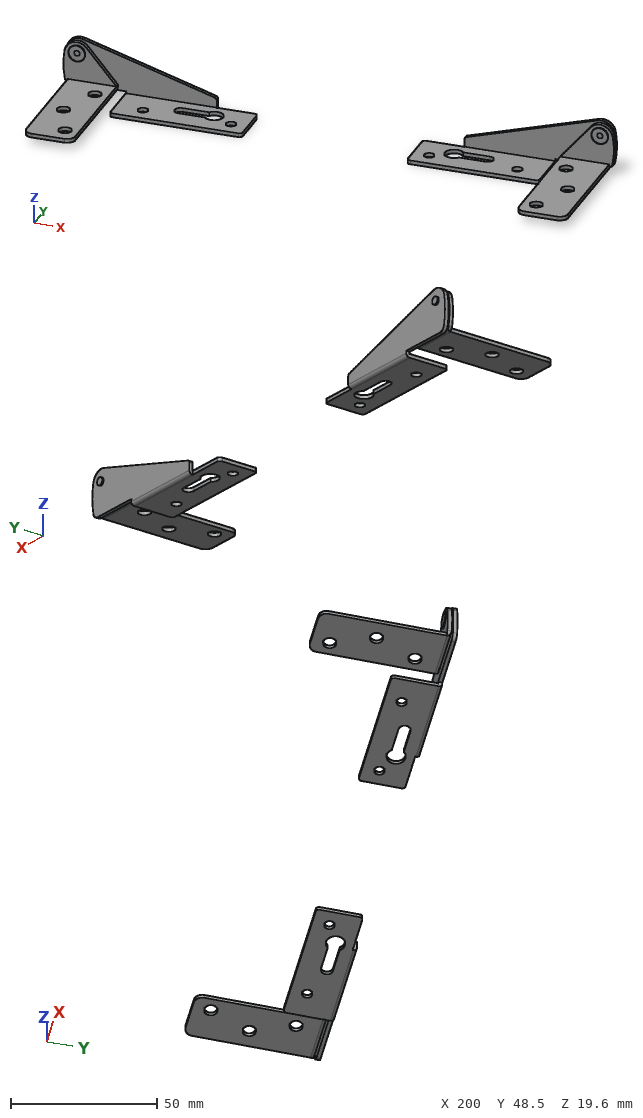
import cadquery as cq
import math


overall_length = 200.0
overall_depth = 48.5
sheet = 1.5
bend_radius = 1.4
outer_x = -overall_length / 2

pivot_x = outer_x + 5.0
pivot_z = 14.8

bow_radius = 30.0
bow_z = 10.2

arm_head_radius = 4.8
arm_end_x = -45.0
arm_end_z = 5.0
arm_bottom_z = 2.2
arm_heel_radius = 2.4
arm_tip_radius = 1.0
keyhole_flange_start_x = -78.0
keyhole_flange_end_x = -30.0
keyhole_flange_front_y = -16.4
keyhole_flange_corner = 1.2
screw_hole_diameter = 3.5
screw_hole_y = -10.4
screw_hole_xs = (-68.0, -36.0)
keyhole_y = -6.4
keyhole_entry_x = -43.5
keyhole_entry_diameter = 6.5
keyhole_slot_width = 4.2
keyhole_slot_length = 12.2

washer_diameter = 6.0
washer_thickness = 0.5

shank_diameter = 2.0
rivet_head_diameter = 6.0
rivet_head_thickness = 0.4
rivet_tail_diameter = 3.0
rivet_tail_thickness = 0.5

tab_head_radius = 4.5
tab_head_z = 14.4
tab_heel_radius = 2.0
tab_back_y = -washer_thickness
tab_front_y = tab_back_y - sheet
mount_bottom_z = 3.0
mount_top_z = mount_bottom_z + sheet
mount_start_x = -98.4
mount_end_x = -80.5
mount_front_y = sheet + rivet_tail_thickness - overall_depth
mount_corner = 3.0
mount_hole_diameter = 4.5
mount_hole_count = 3
mount_hole_pitch = 15.0
mount_hole_rear_y = -10.0
mount_hole_x = -85.5
mount_hole_stagger = 6.0


def box(x0, x1, y0, y1, z0, z1):
    """Axis-aligned block between opposite corners."""
    return cq.Workplane("XY").box(x1 - x0, y1 - y0, z1 - z0, centered=False).translate((x0, y0, z0))


def pivot_disc(diameter, y0, y1):
    """Disc on the pivot axis from y0 to y1."""
    return cq.Workplane("XZ", origin=(pivot_x, y0, pivot_z)).circle(diameter / 2).extrude(y0 - y1)


def round_holes(points, diameter, bottom_z):
    """Drills that pass upward through one sheet."""
    return cq.Workplane("XY", origin=(0, 0, bottom_z)).pushPoints(points).circle(diameter / 2).extrude(sheet)


def nearest(x, y, z):
    """Selector of the edge whose middle is closest to a point."""
    return cq.selectors.NearestToPointSelector((x, y, z))


def upright(head_radius, head_z, corner_z, end_x, bottom_z, heel_radius, front_y):
    """Upright plate: a bowed outer edge, a round head tangent to it, a sloping edge and a short end."""
    bow_x = outer_x + bow_radius
    head_x = bow_x - math.sqrt((bow_radius - head_radius) ** 2 - (head_z - bow_z) ** 2)
    foot_x = bow_x - math.sqrt(bow_radius**2 - (bow_z - bottom_z) ** 2)
    bow_angle = math.atan2(head_z - bow_z, head_x - bow_x)

    run = end_x - head_x
    rise = corner_z - head_z
    slope_angle = math.atan2(rise, run) + math.acos(head_radius / math.hypot(run, rise))

    def on_head(angle):
        return (head_x + head_radius * math.cos(angle), head_z + head_radius * math.sin(angle))

    plate = (
        cq.Workplane("XZ", origin=(0, front_y, 0))
        .moveTo(foot_x, bottom_z)
        .threePointArc((outer_x, bow_z), on_head(bow_angle))
        .threePointArc(on_head((bow_angle + slope_angle) / 2), on_head(slope_angle))
        .lineTo(end_x, corner_z)
        .lineTo(end_x, bottom_z)
        .close()
        .extrude(-sheet)
    )
    return plate.edges(nearest(foot_x, front_y + sheet / 2, bottom_z)).fillet(heel_radius)


def bend_corner(x0, x1, back_y, bottom_z):
    """Waste outside the rounded bend along the lower rear corner of a leaf."""
    axis_y = back_y - bend_radius
    axis_z = bottom_z + bend_radius
    corner = box(x0, x1, axis_y, back_y, bottom_z, axis_z)
    return corner.cut(cq.Workplane("YZ", origin=(x0, axis_y, axis_z)).circle(bend_radius).extrude(x1 - x0))


def rear_leaf():
    arm = upright(arm_head_radius, pivot_z, arm_end_z, arm_end_x, arm_bottom_z, arm_heel_radius, 0)
    arm = arm.edges(nearest(arm_end_x, sheet / 2, arm_end_z)).fillet(arm_tip_radius)

    foot = box(keyhole_flange_start_x, arm_end_x, 0, sheet, 0, arm_bottom_z)
    foot = foot.cut(bend_corner(keyhole_flange_start_x, arm_end_x, sheet, 0))
    flange = box(keyhole_flange_start_x, keyhole_flange_end_x, keyhole_flange_front_y, 0, 0, sheet)
    flange = flange.edges("|Z and (<Y or >X)").fillet(keyhole_flange_corner)

    screw_holes = round_holes([(x, screw_hole_y) for x in screw_hole_xs], screw_hole_diameter, 0)
    keyhole_entry = round_holes([(keyhole_entry_x, keyhole_y)], keyhole_entry_diameter, 0)
    keyhole_slot = (
        cq.Workplane("XY", origin=(keyhole_entry_x - keyhole_slot_length / 2, keyhole_y, 0))
        .slot2D(keyhole_slot_length + keyhole_slot_width, keyhole_slot_width)
        .extrude(sheet)
    )
    leaf = arm.union(foot).union(flange)
    leaf = leaf.cut(screw_holes).cut(keyhole_entry).cut(keyhole_slot)
    return leaf.cut(pivot_disc(shank_diameter, 0, sheet))


def front_leaf():
    tab = upright(
        tab_head_radius, tab_head_z, mount_top_z, mount_end_x, mount_bottom_z, tab_heel_radius, tab_front_y
    )
    flange = box(mount_start_x, mount_end_x, mount_front_y, tab_back_y, mount_bottom_z, mount_top_z)
    flange = flange.edges("|Z and <Y").fillet(mount_corner)
    leaf = tab.union(flange)
    leaf = leaf.cut(bend_corner(outer_x, mount_end_x, tab_back_y, mount_bottom_z))

    hole_points = []
    for row in range(mount_hole_count):
        x = mount_hole_x - mount_hole_stagger * (row % 2)
        hole_points.append((x, mount_hole_rear_y - row * mount_hole_pitch))
    leaf = leaf.cut(round_holes(hole_points, mount_hole_diameter, mount_bottom_z))
    return leaf.cut(pivot_disc(shank_diameter, tab_front_y, tab_back_y))


def washer():
    ring = pivot_disc(washer_diameter, tab_back_y, 0)
    return ring.cut(pivot_disc(shank_diameter, tab_back_y, 0))


def rivet():
    shank = pivot_disc(shank_diameter, tab_front_y, sheet)
    head = pivot_disc(rivet_head_diameter, tab_front_y - rivet_head_thickness, tab_front_y)
    tail = pivot_disc(rivet_tail_diameter, sheet, sheet + rivet_tail_thickness)
    return shank.union(head).union(tail)


bodies = []
for body in (rear_leaf(), washer(), front_leaf(), rivet()):
    bodies += [body.val(), body.mirror("YZ").val()]

result = cq.Compound.makeCompound(bodies)